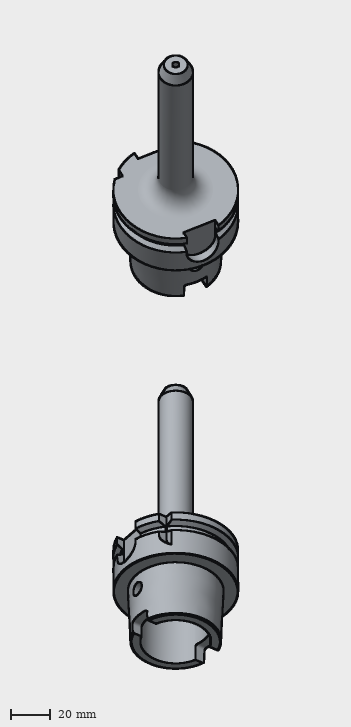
import cadquery as cq
import math

total_height = 159.0
shank_height = 32.0
flange_height = 26.0
flange_top = shank_height + flange_height

flange_radius = 31.5
shank_top_radius = 24.2
shank_bottom_radius = 22.9
rod_radius = 8.7
tip_radius = 6.0
tip_height = 5.9
tip_hole_radius = 1.7
tip_hole_depth = 15.9
root_fillet = 10.2
flange_edge = 0.3
shank_edge = 0.6

groove_radius = 28.5
groove_floor_low = shank_height + 16.5
groove_floor_high = shank_height + 19.7
groove_flank = (flange_radius - groove_radius) * math.tan(math.radians(30))

slot_centre_z = shank_height + 13.0
slot_floor_x = 26.4
left_slot_radius = 8.0
right_slot_radius = 8.9
notch_radius = 8.0
notch_corner = 19.9

bore_radius = 17.8
bore_depth = shank_height
cross_hole_radius = 3.7
cross_hole_z = 23.0
key_width = 12.7
left_key_height = 6.4
right_key_height = 9.5
key_corner_radius = 1.5


def turned_body():
    """Shank, grooved flange, filleted rod root and tapered tip."""
    arc_offset = root_fillet * (1 - math.sqrt(0.5))
    return (
        cq.Workplane("XZ")
        .moveTo(0, 0)
        .lineTo(shank_bottom_radius - shank_edge, 0)
        .lineTo(shank_bottom_radius, shank_edge)
        .lineTo(shank_top_radius, shank_height)
        .lineTo(flange_radius - flange_edge, shank_height)
        .lineTo(flange_radius, shank_height + flange_edge)
        .lineTo(flange_radius, groove_floor_low - groove_flank)
        .lineTo(groove_radius, groove_floor_low)
        .lineTo(groove_radius, groove_floor_high)
        .lineTo(flange_radius, groove_floor_high + groove_flank)
        .lineTo(flange_radius, flange_top)
        .lineTo(rod_radius + root_fillet, flange_top)
        .threePointArc(
            (rod_radius + arc_offset, flange_top + arc_offset),
            (rod_radius, flange_top + root_fillet),
        )
        .lineTo(rod_radius, total_height - tip_height)
        .lineTo(tip_radius, total_height)
        .lineTo(0, total_height)
        .close()
        .revolve(360, (0, 0, 0), (0, 1, 0))
    )


def flange_slot(side, floor_x, centre_y, radius):
    """Round-ended slot cutting inward along X; side is -1 or +1."""
    return (
        cq.Workplane("YZ", origin=(side * floor_x, centre_y, 0))
        .moveTo(-radius, flange_top)
        .lineTo(-radius, slot_centre_z)
        .threePointArc((0, slot_centre_z - radius), (radius, slot_centre_z))
        .lineTo(radius, flange_top)
        .close()
        .extrude(side * flange_radius)
    )


def key_slot(side, height):
    """Drive key slot through one wall of the shank."""
    return (
        cq.Workplane("XY")
        .box(flange_radius, key_width, height, centered=(True, True, False))
        .edges("|X and >Z")
        .fillet(key_corner_radius)
        .translate((side * flange_radius / 2, 0, 0))
    )


bore = cq.Workplane("XY").circle(bore_radius).extrude(bore_depth)
tip_hole = (
    cq.Workplane("XY", origin=(0, 0, total_height))
    .circle(tip_hole_radius)
    .extrude(-tip_hole_depth)
)
cross_hole = (
    cq.Workplane("YZ")
    .center(0, cross_hole_z)
    .circle(cross_hole_radius)
    .extrude(flange_radius, both=True)
)

result = (
    turned_body()
    .cut(bore)
    .cut(tip_hole)
    .cut(cross_hole)
    .cut(flange_slot(-1, slot_floor_x, 0, left_slot_radius))
    .cut(flange_slot(1, slot_floor_x, 0, right_slot_radius))
    .cut(flange_slot(-1, notch_corner, -notch_corner - notch_radius, notch_radius))
    .cut(key_slot(-1, left_key_height))
    .cut(key_slot(1, right_key_height))
)